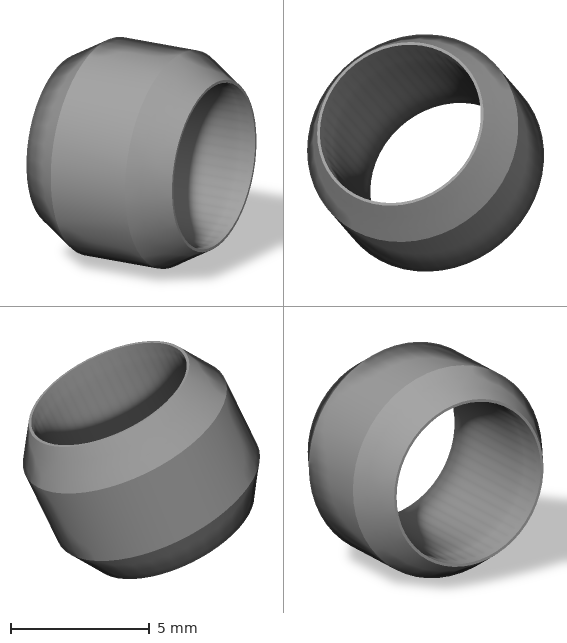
import cadquery as cq
import math

length = 6.0
outer_diameter = 8.0
bore_diameter = 6.1
rim_width = 0.1
taper_angle = 30.0

outer_radius = outer_diameter / 2
bore_radius = bore_diameter / 2
rim_radius = bore_radius + rim_width
taper_length = (outer_radius - rim_radius) / math.tan(math.radians(taper_angle))
end_x = length / 2
shoulder_x = end_x - taper_length

wall_section = (
    cq.Workplane("XY")
    .moveTo(-end_x, bore_radius)
    .lineTo(-end_x, rim_radius)
    .lineTo(-shoulder_x, outer_radius)
    .lineTo(shoulder_x, outer_radius)
    .lineTo(end_x, rim_radius)
    .lineTo(end_x, bore_radius)
    .close()
)
result = wall_section.revolve(360, (0, 0, 0), (1, 0, 0))